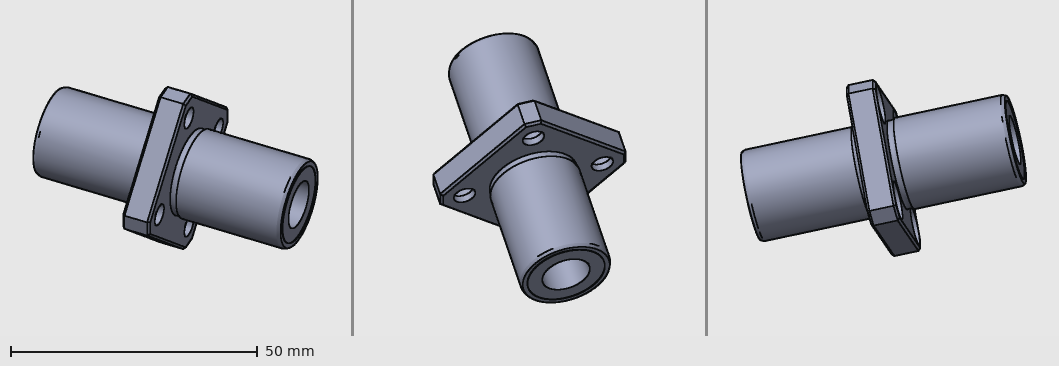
import cadquery as cq
import math

length = 55.0
barrel_diameter = 19.0
bore_diameter = 10.0

bevel_length = 0.75
bevel_depth = 0.35
bevel_crown_radius = 3.0

recess_diameter = 16.3
recess_depth = 0.1

groove_width = 1.45
groove_depth = 0.35
groove_arc_radius = 1.5

flange_thickness = 6.0
flange_span = 39.0
corner_flat_width = 3.5
flange_chamfer = 0.5

hole_circle_diameter = 29.0
hole_diameter = 4.5
counterbore_diameter = 8.0
counterbore_depth = 4.4
hole_count = 4

half_length = length / 2
half_flange = flange_thickness / 2
barrel_radius = barrel_diameter / 2


def make_barrel_half():
    """Revolve the half of the barrel on the +X side, from mid-flange to its end."""
    floor_radius = barrel_radius - groove_depth
    arc_centre_radius = floor_radius + groove_arc_radius
    groove_end = half_flange + groove_width
    rise_length = math.sqrt(groove_arc_radius**2 - (groove_arc_radius - groove_depth) ** 2)
    floor_x = groove_end - rise_length
    floor_offset = floor_x - half_flange
    flange_side_radius = arc_centre_radius - math.sqrt(groove_arc_radius**2 - floor_offset**2)

    profile = (
        cq.Workplane("XY")
        .lineTo(0, flange_side_radius)
        .lineTo(half_flange, flange_side_radius)
        .threePointArc((floor_x, floor_radius), (groove_end, barrel_radius))
        .lineTo(half_length - bevel_length, barrel_radius)
        .radiusArc((half_length, barrel_radius - bevel_depth), bevel_crown_radius)
        .lineTo(half_length, recess_diameter / 2)
        .lineTo(half_length - recess_depth, recess_diameter / 2)
        .lineTo(half_length - recess_depth, 0)
        .close()
    )
    return profile.revolve(360, (0, 0, 0), (1, 0, 0))


def make_flange():
    """Eight-sided plate centred on the barrel, chamfered around both faces."""
    reach = flange_span / 2
    half_flat = corner_flat_width / 2
    outline = [
        (reach, half_flat),
        (half_flat, reach),
        (-half_flat, reach),
        (-reach, half_flat),
        (-reach, -half_flat),
        (-half_flat, -reach),
        (half_flat, -reach),
        (reach, -half_flat),
    ]
    plate = cq.Workplane("YZ").polyline(outline).close().extrude(half_flange, both=True)
    plate = plate.faces("<X or >X").edges().chamfer(flange_chamfer)
    return (
        plate.faces("<X")
        .workplane(origin=(0, 0, 0))
        .polarArray(hole_circle_diameter / 2, 0, 360, hole_count)
        .cboreHole(hole_diameter, counterbore_diameter, counterbore_depth)
    )


right_half = make_barrel_half()
left_half = right_half.mirror("YZ")
bore = cq.Workplane("YZ").circle(bore_diameter / 2).extrude(half_length, both=True)

result = right_half.union(left_half).union(make_flange()).cut(bore)